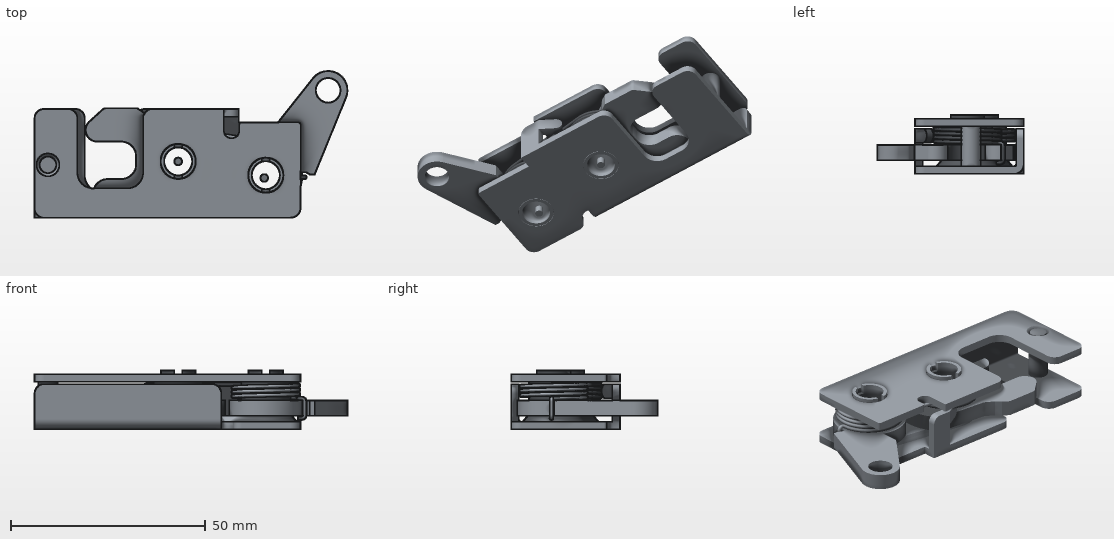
import cadquery as cq
import math


SHEET = 2.0
LENGTH = 68.4
WIDTH = 28.0
STEP_WIDTH = 24.55
CORNER_R = 2.5
STEP_CORNER_R = 0.65

ROTOR_AXIS = (36.95, 14.5)
LEVER_AXIS = (59.5, 10.95)
AXES = (ROTOR_AXIS, LEVER_AXIS)
PIN_AXIS = (3.5, 13.6)

EMBOSS_TOP = 3.5
BLADE = 4.0
BLADE_TOP = EMBOSS_TOP + BLADE
WALL_TOP = 11.7
COVER_BOTTOM = 12.2
COVER_TOP = COVER_BOTTOM + SHEET
BUSHING_RISE = 1.0
BUSHING_TOP = COVER_TOP + BUSHING_RISE

WALL_LENGTH = 48.05
BEND_R = 2.5
TAB_X0 = 47.1
TAB_X1 = 52.55
TAB_CORNER_R = 2.0
ARM_BOTTOM = 8.0
ARM_LENGTH = 6.0
ARM_ANGLE = 30.0
RELIEF_LENGTH = 3.2
RELIEF_DEPTH = 4.0
RELIEF_R = 2.9
RELIEF_CORNER_R = 2.1
EMBOSS_RADII = (8.0, 7.3, 6.8)

COVER_THROAT = (11.0, 27.9, 7.6)
FLOOR_THROAT = (12.95, 26.0, 6.8)
THROAT_R = 4.0
NOTCH_X0 = 48.7
NOTCH_X1 = 52.6
NOTCH_BOTTOM = 20.45

BORE_D = 7.2
SPIGOT_D = 8.9
PLATE_HOLE_D = 9.1
JOURNAL_D = 10.5
BARREL_D = 12.7
BLADE_HOLE_D = 10.8
SLOT_WIDTH = 2.0
SLOT_DEPTH = 2.25

PIN_D = 5.0
PIN_END_D = 4.3
COUNTERSINK = 0.8
PIN_END_RECESS = 0.3

STUD_D = 2.0
LEVER_STUD_OFFSET = (-0.4, -0.7)

ROTOR_R = 12.1
ROTOR_TOP = 28.2
MOUTH_TOP = 19.55
MOUTH_BOTTOM = 10.0
MOUTH_END = 26.15
MOUTH_R = 3.9
JAW_TIP_X = 15.05
JAW_R = 3.8
JAW_BOTTOM = 5.95
LOBE_X = 34.1
LOBE_MID_ANGLE = 0.0
LOBE_END_ANGLE = 45.0
JAW_MID_ANGLE = 135.0
NOSE_CORNER = (17.9, ROTOR_TOP)
NOSE_R = 1.2
NOSE_HEEL = (14.1, 24.7)
NOSE_TIP = (13.35, 21.4)
NOSE_END = (16.25, MOUTH_TOP)
BACK_EDGE = ((31.8, 24.15), (29.3, 25.7), (28.1, 27.05), (26.4, ROTOR_TOP))

LEVER_R = 9.4
EYE = (75.5, 32.75)
EYE_R = 5.0
EYE_MID_ANGLE = 60.0
EYE_HOLE_D = 6.3
ARM_LEFT_CORNER = (62.7, 24.6)
ARM_RIGHT_CORNER = (72.0, 11.1)
HOOK_RELIEF = ((70.8, 11.1), (69.85, 11.7))

WIRE_D = 1.0
COIL_R = 8.4
SPRING_TOP = 11.6
SPRING_BOTTOM = BLADE_TOP + WIRE_D / 2
FULL_TURNS = 3
HOOK_R = 0.8
HOOK_GAP = 0.1
HOOK_END_Z = EMBOSS_TOP - WIRE_D / 2 - HOOK_GAP
HOOK_TAIL = 1.0
ROTOR_HOOK_ANGLE = 241.5
LEVER_HOOK_ANGLE = 1.5
COIL_STEP = 20.0

FULL_ROUND = 0.49


def disc(center, diameter, bottom, top):
    return cq.Workplane("XY", origin=(*center, bottom)).circle(diameter / 2).extrude(top - bottom)


def block(x0, x1, y0, y1, z0, z1):
    return cq.Workplane("XY").box(x1 - x0, y1 - y0, z1 - z0, centered=False).translate((x0, y0, z0))


def polar(center, radius, degrees):
    angle = math.radians(degrees)
    return (center[0] + radius * math.cos(angle), center[1] + radius * math.sin(angle))


def tangent_point(corner, center, radius, side):
    """Where a line from corner touches the circle; side +1 or -1 picks the touching side."""
    dx = corner[0] - center[0]
    dy = corner[1] - center[1]
    toward_corner = math.degrees(math.atan2(dy, dx))
    opening = math.degrees(math.acos(radius / math.hypot(dx, dy)))
    return polar(center, radius, toward_corner + side * opening)


def round_corner(plate, corner, radius, bottom):
    """Round the upright edge of a sheet at the given corner."""
    edge = cq.selectors.NearestToPointSelector((*corner, bottom + SHEET / 2))
    return plate.edges(edge).fillet(radius)


def stepped_plate(bottom, step_x):
    """Plate outline with the narrower end at +X and its rounded outer corners."""
    outline = [(0, 0), (LENGTH, 0), (LENGTH, STEP_WIDTH), (step_x, STEP_WIDTH), (step_x, WIDTH), (0, WIDTH)]
    plate = cq.Workplane("XY", origin=(0, 0, bottom)).polyline(outline).close().extrude(SHEET)
    plate = round_corner(plate, (LENGTH, STEP_WIDTH), STEP_CORNER_R, bottom)
    plate = round_corner(plate, (LENGTH, 0), CORNER_R, bottom)
    return round_corner(plate, (0, WIDTH), CORNER_R, bottom)


def cut_throat(plate, throat, bottom):
    """Open U-shaped throat from the +Y edge, with rounded mouth corners."""
    left, right, throat_bottom = throat
    cutter = block(left, right, throat_bottom, WIDTH + 0.8, bottom, bottom + SHEET)
    cutter = cutter.edges("|Z and <Y").fillet(THROAT_R)
    plate = plate.cut(cutter)
    for x in (left, right):
        plate = round_corner(plate, (x, WIDTH), CORNER_R, bottom)
    return plate


def floor():
    plate = stepped_plate(0, TAB_X1)
    plate = cut_throat(plate, FLOOR_THROAT, 0)
    relief = block(WALL_LENGTH - RELIEF_LENGTH, WALL_LENGTH + RELIEF_LENGTH, 0, RELIEF_DEPTH, 0, SHEET)
    relief = relief.edges("|Z and >X and >Y").fillet(RELIEF_R)
    relief = relief.cut(block(0, WALL_LENGTH, 0, RELIEF_DEPTH, 0, SHEET))
    plate = plate.cut(relief)
    return round_corner(plate, (WALL_LENGTH + RELIEF_LENGTH, 0), RELIEF_CORNER_R, 0)


def side_wall():
    wall = block(0, WALL_LENGTH, 0, SHEET, 0, WALL_TOP)
    wall = wall.edges("|Y and >Z").fillet(CORNER_R)
    inner_r = BEND_R - SHEET
    gusset = block(0, WALL_LENGTH, SHEET, BEND_R, SHEET, BEND_R)
    rounding = cq.Workplane("YZ").center(BEND_R, BEND_R).circle(inner_r).extrude(WALL_LENGTH)
    return wall.union(gusset.cut(rounding))


def spring_tab():
    """Upright tab at the +Y edge with an arm that leans inward toward the rotor."""
    tab = block(TAB_X0, TAB_X1, WIDTH - SHEET, WIDTH, 0, WALL_TOP)
    tab = tab.edges("|Y and >X and >Z").fillet(TAB_CORNER_R)
    arm = block(TAB_X0 - ARM_LENGTH, TAB_X0, WIDTH - SHEET, WIDTH, ARM_BOTTOM, WALL_TOP)
    arm = arm.edges("|Y and <X").fillet(FULL_ROUND * (WALL_TOP - ARM_BOTTOM))
    hinge = (TAB_X0, WIDTH)
    arm = arm.rotate((*hinge, 0), (*hinge, 1), ARM_ANGLE)
    return tab.union(arm)


def emboss():
    """Raised pad around both axes, with sloping sides."""
    dx = LEVER_AXIS[0] - ROTOR_AXIS[0]
    dy = LEVER_AXIS[1] - ROTOR_AXIS[1]
    span = math.hypot(dx, dy)
    layer = (EMBOSS_TOP - SHEET) / (len(EMBOSS_RADII) - 1)
    pad = cq.Workplane("XY")
    for level, (lower_r, upper_r) in enumerate(zip(EMBOSS_RADII, EMBOSS_RADII[1:])):
        slope = math.degrees(math.atan((lower_r - upper_r) / layer))
        outline = cq.Workplane("XY", origin=(0, 0, level * layer)).slot2D(span + 2 * lower_r, 2 * lower_r)
        pad = pad.union(outline.extrude(layer, taper=slope))
    pad = pad.rotate((0, 0, 0), (0, 0, 1), math.degrees(math.atan2(dy, dx)))
    return pad.translate((ROTOR_AXIS[0] + dx / 2, ROTOR_AXIS[1] + dy / 2, SHEET))


def make_housing():
    housing = floor().union(side_wall()).union(spring_tab()).union(emboss())
    bend_edge = cq.selectors.NearestToPointSelector((WALL_LENGTH / 2, 0, 0))
    housing = housing.edges(bend_edge).fillet(BEND_R)
    for axis in AXES:
        housing = housing.cut(disc(axis, PLATE_HOLE_D, 0, EMBOSS_TOP))
    return housing


def make_cover():
    cover = stepped_plate(COVER_BOTTOM, NOTCH_X1)
    cover = round_corner(cover, (0, 0), CORNER_R, COVER_BOTTOM)
    cover = cut_throat(cover, COVER_THROAT, COVER_BOTTOM)
    notch = block(NOTCH_X0, NOTCH_X1, NOTCH_BOTTOM, WIDTH, COVER_BOTTOM, COVER_TOP)
    cover = cover.cut(notch.edges("|Z and <Y").fillet(FULL_ROUND * (NOTCH_X1 - NOTCH_X0)))
    cover = round_corner(cover, (NOTCH_X1, STEP_WIDTH), STEP_CORNER_R, COVER_BOTTOM)
    for axis in AXES:
        cover = cover.cut(disc(axis, PLATE_HOLE_D, COVER_BOTTOM, COVER_TOP))
    pin_hole = cq.Workplane("XY", origin=(*PIN_AXIS, COVER_TOP))
    cone = pin_hole.circle(PIN_END_D / 2 + COUNTERSINK).extrude(-COUNTERSINK, taper=45)
    return cover.cut(disc(PIN_AXIS, PIN_END_D, COVER_BOTTOM, COVER_TOP)).cut(cone)


def make_pin():
    shank = disc(PIN_AXIS, PIN_D, SHEET, COVER_BOTTOM)
    return shank.union(disc(PIN_AXIS, PIN_END_D, COVER_BOTTOM, COVER_TOP - PIN_END_RECESS))


def make_bushing(axis):
    """Stepped hollow rivet with a screwdriver slot across its upper end."""
    bushing = disc(axis, SPIGOT_D, 0, BUSHING_TOP)
    bushing = bushing.union(disc(axis, JOURNAL_D, EMBOSS_TOP, BLADE_TOP))
    bushing = bushing.union(disc(axis, BARREL_D, BLADE_TOP, COVER_BOTTOM))
    bushing = bushing.cut(disc(axis, BORE_D, 0, BUSHING_TOP))
    x, y = axis
    half = SLOT_WIDTH / 2
    slot = block(x - half, x + half, y - SPIGOT_D, y + SPIGOT_D, BUSHING_TOP - SLOT_DEPTH, BUSHING_TOP)
    return bushing.cut(slot)


def make_stud(axis):
    return disc(axis, STUD_D, 0, SHEET)


def make_rotor():
    lobe_drop = math.sqrt(ROTOR_R ** 2 - (ROTOR_AXIS[0] - LOBE_X) ** 2)
    lobe_start = (LOBE_X, ROTOR_AXIS[1] - lobe_drop)
    lobe_end = polar(ROTOR_AXIS, ROTOR_R, LOBE_END_ANGLE)
    jaw_center = (JAW_TIP_X + JAW_R, MOUTH_BOTTOM - JAW_R)
    rotor = (
        cq.Workplane("XY", origin=(0, 0, EMBOSS_TOP))
        .moveTo(*NOSE_CORNER)
        .lineTo(*NOSE_HEEL)
        .threePointArc(NOSE_TIP, NOSE_END)
        .lineTo(MOUTH_END - MOUTH_R, MOUTH_TOP)
        .radiusArc((MOUTH_END, MOUTH_TOP - MOUTH_R), MOUTH_R)
        .lineTo(MOUTH_END, MOUTH_BOTTOM + MOUTH_R)
        .radiusArc((MOUTH_END - MOUTH_R, MOUTH_BOTTOM), MOUTH_R)
        .lineTo(jaw_center[0], MOUTH_BOTTOM)
        .threePointArc(polar(jaw_center, JAW_R, JAW_MID_ANGLE), (JAW_TIP_X, jaw_center[1]))
        .lineTo(JAW_TIP_X, JAW_BOTTOM)
        .lineTo(LOBE_X, JAW_BOTTOM)
        .lineTo(*lobe_start)
        .threePointArc(polar(ROTOR_AXIS, ROTOR_R, LOBE_MID_ANGLE), lobe_end)
        .polyline(BACK_EDGE, includeCurrent=True)
        .close()
        .extrude(BLADE)
    )
    nose = cq.selectors.NearestToPointSelector((*NOSE_CORNER, EMBOSS_TOP + BLADE / 2))
    rotor = rotor.edges(nose).fillet(NOSE_R)
    return rotor.cut(disc(ROTOR_AXIS, BLADE_HOLE_D, EMBOSS_TOP, BLADE_TOP))


def make_lever():
    left_touch = tangent_point(ARM_LEFT_CORNER, EYE, EYE_R, -1)
    right_touch = tangent_point(ARM_RIGHT_CORNER, EYE, EYE_R, 1)
    arm = (
        cq.Workplane("XY", origin=(0, 0, EMBOSS_TOP))
        .moveTo(ARM_LEFT_CORNER[0], HOOK_RELIEF[1][1])
        .lineTo(*HOOK_RELIEF[1])
        .lineTo(*HOOK_RELIEF[0])
        .lineTo(*ARM_RIGHT_CORNER)
        .lineTo(*right_touch)
        .threePointArc(polar(EYE, EYE_R, EYE_MID_ANGLE), left_touch)
        .lineTo(*ARM_LEFT_CORNER)
        .close()
        .extrude(BLADE)
    )
    lever = arm.union(disc(LEVER_AXIS, 2 * LEVER_R, EMBOSS_TOP, BLADE_TOP))
    lever = lever.cut(disc(LEVER_AXIS, BLADE_HOLE_D, EMBOSS_TOP, BLADE_TOP))
    return lever.cut(disc(EYE, EYE_HOLE_D, EMBOSS_TOP, BLADE_TOP))


def coil(axis, start_angle, end_angle):
    """Coil that descends from SPRING_TOP at start_angle to SPRING_BOTTOM at end_angle."""
    sweep = end_angle - start_angle
    steps = math.ceil(abs(sweep) / COIL_STEP)
    points = []
    for i in range(steps + 1):
        part = i / steps
        height = SPRING_TOP + (SPRING_BOTTOM - SPRING_TOP) * part
        points.append(cq.Vector(*polar(axis, COIL_R, start_angle + sweep * part), height))
    turn = math.copysign(90, sweep)
    tangents = [cq.Vector(*polar((0, 0), 1, angle + turn), 0) for angle in (start_angle, end_angle)]
    return cq.Edge.makeSpline(points, tangents=tangents, scale=False)


def hook(axis, angle, turn):
    """Edges that leave a coil's lower end, bend outward, run down past the blade and tuck under it."""
    outward = cq.Vector(*polar((0, 0), 1, angle), 0)
    along = cq.Vector(*polar((0, 0), 1, angle + 90 * turn), 0)
    bend_mid = HOOK_R * math.sqrt(0.5)

    def place(out, forward, height):
        return cq.Vector(*axis, height) + outward * out + along * forward

    shoulder = COIL_R + HOOK_R
    drop = shoulder + HOOK_R
    upper = SPRING_BOTTOM - HOOK_R
    lower = HOOK_END_Z + HOOK_R
    tuck_start = place(shoulder, HOOK_R, HOOK_END_Z)
    tuck_end = place(shoulder - HOOK_TAIL, HOOK_R, HOOK_END_Z)
    return [
        cq.Edge.makeThreePointArc(
            place(COIL_R, 0, SPRING_BOTTOM),
            place(shoulder - bend_mid, bend_mid, SPRING_BOTTOM),
            place(shoulder, HOOK_R, SPRING_BOTTOM),
        ),
        cq.Edge.makeThreePointArc(
            place(shoulder, HOOK_R, SPRING_BOTTOM),
            place(shoulder + bend_mid, HOOK_R, upper + bend_mid),
            place(drop, HOOK_R, upper),
        ),
        cq.Edge.makeLine(place(drop, HOOK_R, upper), place(drop, HOOK_R, lower)),
        cq.Edge.makeThreePointArc(
            place(drop, HOOK_R, lower),
            place(shoulder + bend_mid, HOOK_R, lower - bend_mid),
            tuck_start,
        ),
        cq.Edge.makeLine(tuck_start, tuck_end),
    ]


def make_spring():
    """One wire: a coil on each bushing, joined by a straight bridge, with a hook at each end."""
    line_angle = math.degrees(math.atan2(LEVER_AXIS[1] - ROTOR_AXIS[1], LEVER_AXIS[0] - ROTOR_AXIS[0]))
    bridge_angle = line_angle + 90
    rotor_coil = coil(ROTOR_AXIS, bridge_angle, ROTOR_HOOK_ANGLE + 360 * FULL_TURNS)
    lever_coil = coil(LEVER_AXIS, bridge_angle, LEVER_HOOK_ANGLE - 360 * FULL_TURNS)
    bridge = cq.Edge.makeLine(rotor_coil.startPoint(), lever_coil.startPoint())
    rotor_hook = hook(ROTOR_AXIS, ROTOR_HOOK_ANGLE, 1)
    lever_hook = hook(LEVER_AXIS, LEVER_HOOK_ANGLE, -1)
    path = cq.Wire.assembleEdges([*reversed(rotor_hook), rotor_coil, bridge, lever_coil, *lever_hook])
    tail = rotor_hook[-1]
    section = cq.Plane(origin=tail.endPoint(), normal=tail.startPoint() - tail.endPoint())
    return cq.Workplane(section).circle(WIRE_D / 2).sweep(cq.Workplane(path))


housing = make_housing()
cover = make_cover()
pin = make_pin()
bushings = [make_bushing(axis) for axis in AXES]
lever_stud_axis = (LEVER_AXIS[0] + LEVER_STUD_OFFSET[0], LEVER_AXIS[1] + LEVER_STUD_OFFSET[1])
studs = [make_stud(axis) for axis in (ROTOR_AXIS, lever_stud_axis)]
rotor = make_rotor()
lever = make_lever()
spring = make_spring()

result = cq.Compound.makeCompound(
    [
        housing.val(),
        cover.val(),
        pin.val(),
        *[bushing.val() for bushing in bushings],
        *[stud.val() for stud in studs],
        rotor.val(),
        lever.val(),
        spring.val(),
    ]
)